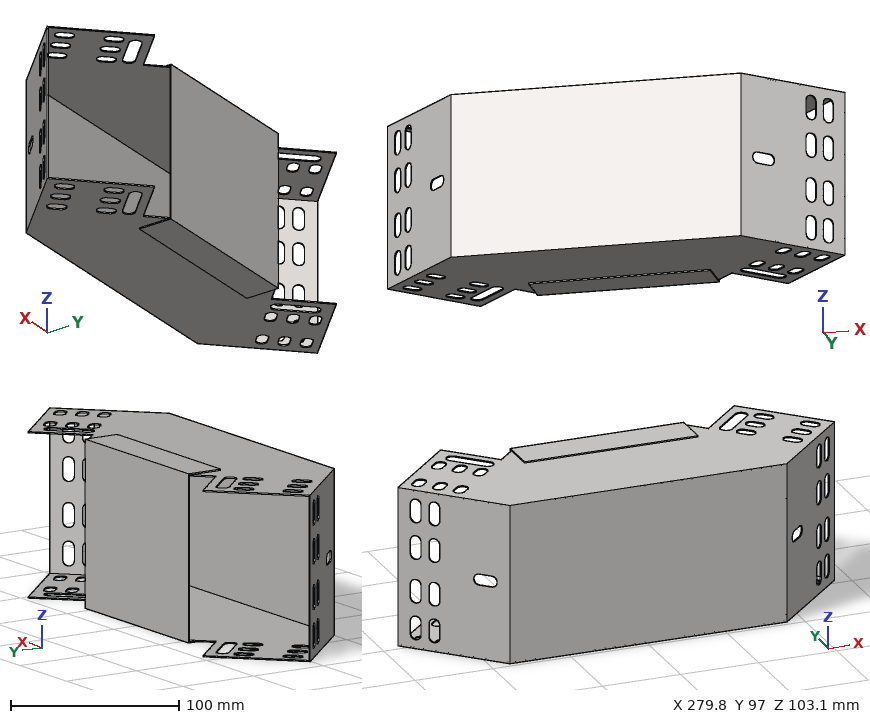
import cadquery as cq
import math

SHEET = 0.8
LENGTH = 279.8
CHANNEL_HEIGHT = 101.5
DEPTH = 97.0

WING_ANGLE = 45.0
TIP_Y = 51.2
NOTCH_DEPTH = 27.7
COVER_BACK = 82.0

COVER_LENGTH = 111.0
FLANGE_DEPTH = 23.0

SLOT_WIDTH = 7.0
PLATE_SLOT_LENGTH = 12.0
PLATE_SLOT_FIRST = 8.7
PLATE_SLOT_PITCH = 13.5
PLATE_SLOT_COUNT = 3
PLATE_SLOT_ROWS = (12.0, 42.0)
LONG_SLOT_LENGTH = 30.5
LONG_SLOT_WIDTH = 7.8
LONG_SLOT_ALONG = 23.0
LONG_SLOT_ACROSS = 55.5
WALL_SLOT_LENGTH = 15.0
WALL_SLOT_COLUMNS = (11.5, 23.5)
WALL_SLOT_HEIGHTS = (14.0, 37.5)
SINGLE_SLOT_ALONG = 56.5
QUARTER_TURN = 90
CUT_REACH = 5.5

half_length = LENGTH / 2
corner_x = half_length - TIP_Y
peak_x = half_length - (DEPTH - TIP_Y)
notch_x = peak_x - NOTCH_DEPTH
notch_y = DEPTH - NOTCH_DEPTH
plate_back = COVER_BACK - SHEET
plate_back_x = notch_x - (plate_back - notch_y)
wall_miter = SHEET * math.tan(math.radians(WING_ANGLE / 2))
wall_step = SHEET / math.cos(math.radians(WING_ANGLE))


def symmetric_prism(right_points, height):
    """Prism centred on Z = 0 from the right half of an outline, mirrored in X."""
    left_points = [(-x, y) for x, y in reversed(right_points)]
    outline = cq.Workplane("XY").polyline(right_points + left_points).close()
    return outline.extrude(height / 2, both=True)


def wing_plane(normal):
    """Plane at the right wing tip: local X along the wall, towards its bend."""
    along = (-math.cos(math.radians(WING_ANGLE)), -math.sin(math.radians(WING_ANGLE)), 0)
    return cq.Workplane(cq.Plane(origin=(half_length, TIP_Y, 0), xDir=along, normal=normal))


def plate_slots():
    """Slots of one wing through both plates; local Y runs towards the wing peak."""
    plane = wing_plane((0, 0, -1))
    places = [
        (PLATE_SLOT_FIRST + i * PLATE_SLOT_PITCH, across)
        for i in range(PLATE_SLOT_COUNT)
        for across in PLATE_SLOT_ROWS
    ]
    short = plane.pushPoints(places).slot2D(PLATE_SLOT_LENGTH, SLOT_WIDTH, QUARTER_TURN)
    short = short.extrude(CHANNEL_HEIGHT, both=True)
    long = plane.center(LONG_SLOT_ALONG, LONG_SLOT_ACROSS).slot2D(LONG_SLOT_LENGTH, LONG_SLOT_WIDTH)
    return short.union(long.extrude(CHANNEL_HEIGHT, both=True))


def wall_slots():
    """Slots of one wing through its outer wall."""
    sine = math.sin(math.radians(WING_ANGLE))
    plane = wing_plane((sine, -sine, 0))
    places = [
        (along, side * height)
        for along in WALL_SLOT_COLUMNS
        for height in WALL_SLOT_HEIGHTS
        for side in (-1, 1)
    ]
    upright = plane.pushPoints(places).slot2D(WALL_SLOT_LENGTH, SLOT_WIDTH, QUARTER_TURN)
    upright = upright.extrude(CUT_REACH, both=True)
    single = plane.center(SINGLE_SLOT_ALONG, 0).slot2D(WALL_SLOT_LENGTH, SLOT_WIDTH)
    return upright.union(single.extrude(CUT_REACH, both=True))


def make_channel():
    """Folded channel: two plates joined by a three-panel outer wall, open at the rear and ends."""
    outline = [
        (corner_x, 0),
        (half_length, TIP_Y),
        (peak_x, DEPTH),
        (notch_x, notch_y),
        (plate_back_x, plate_back),
    ]
    body = symmetric_prism(outline, CHANNEL_HEIGHT)
    inside = [
        (corner_x - wall_miter, SHEET),
        (half_length, TIP_Y + wall_step),
        (half_length, DEPTH + CUT_REACH),
    ]
    body = body.cut(symmetric_prism(inside, CHANNEL_HEIGHT - 2 * SHEET))
    for slots in (plate_slots(), wall_slots()):
        body = body.cut(slots).cut(slots.mirror("YZ"))
    return body


def make_cover():
    """U-shaped cover closing the rear, with flanges lapping the outside of both plates."""
    block = cq.Workplane("XY").box(
        COVER_LENGTH, FLANGE_DEPTH, CHANNEL_HEIGHT + 2 * SHEET, centered=(True, False, True)
    )
    gap = cq.Workplane("XY").box(
        COVER_LENGTH, FLANGE_DEPTH - SHEET, CHANNEL_HEIGHT, centered=(True, False, True)
    )
    return block.cut(gap).translate((0, COVER_BACK - FLANGE_DEPTH, 0))


channel = make_channel()
cover = make_cover()
result = cq.Compound.makeCompound([channel.val(), cover.val()])